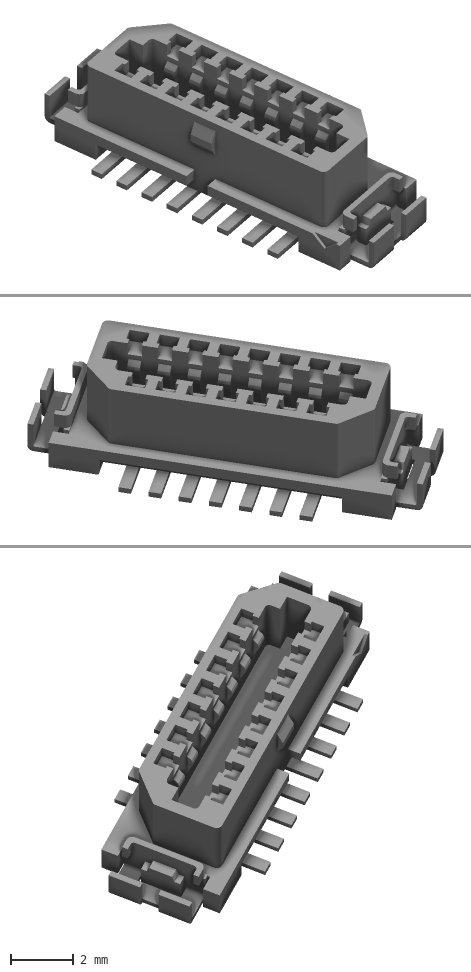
import cadquery as cq

overall_length = 13.1
overall_width = 5.6
housing_top = 3.3

base_length = 11.37
base_width = 4.22
base_top = 1.02
end_notch_depth = 0.52
end_notch_width = 3.04
tail_recess_length = 8.07
tail_recess_top = 0.63
lip_gap_width = 0.84

shroud_length = 9.55
shroud_width = 3.35
shroud_chamfer = 1.0
shroud_chamfer_round = 0.16
shroud_corner_round = 0.2

cavity_half_length = 4.38
cavity_key_half_length = 3.85
cavity_half_width = 0.7
cavity_key_y = 0.22
cavity_floor = base_top
cavity_corner_round = 0.16

front_contact_count = 8
back_contact_count = front_contact_count - 1
front_row_span = 7.01
contact_pitch = front_row_span / (front_contact_count - 1)
contact_width = 0.42
tail_thickness = 0.2

slot_depth = 0.46
slot_wide_width = 0.67
slot_narrow_width = 0.47
slot_step_y = 0.92
slot_outer_y = 1.36

tip_protrusion = 0.21
tip_nose_setback = 0.04
tip_top = 2.65
tip_shoulder_drop = 0.16
tip_nose_drop = 0.26
tip_nose_height = 0.16
tip_height = 0.94

latch_width = lip_gap_width
latch_protrusion = 0.21
latch_bottom = 2.0
latch_flat_bottom = 2.32
latch_flat_top = 2.61
latch_top = 3.0

peg_radius = 0.62
peg_tip_radius = 0.43
peg_length = 1.0
peg_straight_length = 0.59
peg_x = base_length / 2 - peg_radius

mark_width = 0.94
mark_height = 0.4
mark_depth = 0.1

sheet = 0.2
clip_width = 2.88
clip_tab_top = 1.11
clip_tab_gap = 0.65
clip_tab_outer_bend = 0.2
clip_tab_inner_bend = 0.07
clip_wall_top = 1.62
clip_wall_width = 2.72
clip_arm_bottom = 1.1
clip_outer_bend = 0.21
clip_inner_bend = 0.12
clip_window_width = 1.53
clip_window_clearance = 0.08
clip_wall_outer_x = base_length / 2 - end_notch_depth
clip_wall_inner_x = clip_wall_outer_x + sheet

tongue_width = 1.39
tongue_shoulder_width = 1.0
tongue_top_width = 0.81
tongue_shoulder_z = 0.79


def block(x_range, y_range, z_range):
    """Box given by its limits along each axis."""
    limits = (x_range, y_range, z_range)
    sizes = [high - low for low, high in limits]
    corner = tuple(low for low, high in limits)
    return cq.Workplane("XY").box(*sizes, centered=False).translate(corner)


def extrude_along_x(profile_yz, x_center, width):
    """Prism with a (Y, Z) profile, centered on x_center."""
    start = cq.Workplane("YZ").workplane(offset=x_center - width / 2)
    return start.polyline(profile_yz).close().extrude(width)


def both_ends(right_part):
    """The part at the +X end together with its mirror image."""
    return right_part.union(right_part.mirror("YZ"))


def row_positions(count):
    return [(index - (count - 1) / 2) * contact_pitch for index in range(count)]


def make_base():
    half_length = base_length / 2
    half_width = base_width / 2
    base = cq.Workplane("XY").box(base_length, base_width, base_top, centered=(True, True, False))
    notch = block(
        (clip_wall_outer_x, half_length),
        (-end_notch_width / 2, end_notch_width / 2),
        (0, base_top),
    )
    base = base.cut(both_ends(notch))

    lip_gap = block(
        (-lip_gap_width / 2, lip_gap_width / 2),
        (-half_width, -shroud_width / 2),
        (0, base_top),
    )
    mark = (
        cq.Workplane("XZ", origin=(peg_x, -half_width, 0))
        .moveTo(-mark_width / 2, base_top)
        .lineTo(mark_width / 2, base_top)
        .lineTo(0, base_top - mark_height)
        .close()
        .extrude(-mark_depth)
    )
    return base.cut(lip_gap).cut(mark)


def make_tail_recess():
    """Recess under the front lip, running inward as a shallow pocket around the contact tails."""
    front_y = -base_width / 2
    recess_x = (-tail_recess_length / 2, tail_recess_length / 2)
    under_lip = block(recess_x, (front_y, -shroud_width / 2), (0, tail_recess_top))
    tail_pocket = block(recess_x, (front_y, -slot_outer_y), (0, tail_thickness))
    return under_lip.union(tail_pocket)


def make_shroud():
    shroud = cq.Workplane("XY").box(shroud_length, shroud_width, housing_top, centered=(True, True, False))
    shroud = shroud.edges("|Z and >Y").chamfer(shroud_chamfer)
    shroud = shroud.edges("|Z and <Y").fillet(shroud_corner_round)
    back_half = cq.selectors.BoxSelector(
        (-shroud_length, 0, 0),
        (shroud_length, shroud_width, housing_top),
    )
    return shroud.edges("|Z").edges(back_half).fillet(shroud_chamfer_round)


def make_latch():
    wall_y = -shroud_width / 2
    nose_y = wall_y - latch_protrusion
    profile = [
        (wall_y, latch_bottom),
        (nose_y, latch_flat_bottom),
        (nose_y, latch_flat_top),
        (wall_y, latch_top),
    ]
    return extrude_along_x(profile, 0, latch_width)


def make_cavity():
    outline = [
        (-cavity_half_length, -cavity_half_width),
        (cavity_half_length, -cavity_half_width),
        (cavity_half_length, cavity_key_y),
        (cavity_key_half_length, cavity_key_y),
        (cavity_key_half_length, cavity_half_width),
        (-cavity_key_half_length, cavity_half_width),
        (-cavity_key_half_length, cavity_key_y),
        (-cavity_half_length, cavity_key_y),
    ]
    cavity = cq.Workplane("XY").workplane(offset=cavity_floor).polyline(outline).close()
    cavity = cavity.extrude(housing_top - cavity_floor)
    return cavity.edges("|Z and (<Y or >Y)").fillet(cavity_corner_round)


def make_slot(x_center):
    """Slot of the back row: narrow at the cavity, wide toward the shroud wall."""
    z_range = (housing_top - slot_depth, housing_top)
    narrow = slot_narrow_width / 2
    wide = slot_wide_width / 2
    neck = block((x_center - narrow, x_center + narrow), (0, slot_step_y), z_range)
    head = block((x_center - wide, x_center + wide), (slot_step_y, slot_outer_y), z_range)
    return neck.union(head)


def make_contact_tip(x_center):
    """Bulging tip of a back-row contact, set into the cavity wall."""
    wall_y = cavity_half_width
    nose_y = wall_y - tip_protrusion
    shoulder_y = nose_y + tip_nose_setback
    profile = [
        (wall_y, tip_top),
        (shoulder_y, tip_top - tip_shoulder_drop),
        (nose_y, tip_top - tip_nose_drop),
        (nose_y, tip_top - tip_nose_drop - tip_nose_height),
        (wall_y, tip_top - tip_height),
    ]
    return extrude_along_x(profile, x_center, contact_width)


def make_tail(x_center):
    half = contact_width / 2
    return block(
        (x_center - half, x_center + half),
        (slot_outer_y, overall_width / 2),
        (0, tail_thickness),
    )


def make_peg():
    profile = [
        (0, 0),
        (peg_radius, 0),
        (peg_radius, -peg_straight_length),
        (peg_tip_radius, -peg_length),
        (0, -peg_length),
    ]
    peg = cq.Workplane("XZ").polyline(profile).close().revolve(360, (0, 0), (0, 1))
    return peg.translate((peg_x, 0, 0))


def make_tongue():
    half = tongue_width / 2
    shoulder = tongue_shoulder_width / 2
    top = tongue_top_width / 2
    profile = [
        (-half, 0),
        (half, 0),
        (half, tongue_shoulder_z),
        (shoulder, tongue_shoulder_z),
        (top, base_top),
        (-top, base_top),
        (-shoulder, tongue_shoulder_z),
        (-half, tongue_shoulder_z),
    ]
    length = base_length / 2 - clip_wall_outer_x
    return extrude_along_x(profile, clip_wall_outer_x + length / 2, length)


def make_clip():
    outer_x = overall_length / 2
    half_width = clip_width / 2

    strip_profile = [
        (clip_wall_outer_x, 0),
        (outer_x, 0),
        (outer_x, clip_tab_top),
        (outer_x - sheet, clip_tab_top),
        (outer_x - sheet, sheet),
        (clip_wall_inner_x, sheet),
        (clip_wall_inner_x, clip_arm_bottom),
        (clip_wall_outer_x, clip_arm_bottom),
    ]
    strip = cq.Workplane("XZ", origin=(0, half_width, 0)).polyline(strip_profile).close().extrude(clip_width)

    def bend(part, x, z, radius):
        return part.edges(cq.selectors.NearestToPointSelector((x, 0, z))).fillet(radius)

    strip = bend(strip, outer_x, 0, clip_tab_outer_bend)
    strip = bend(strip, outer_x - sheet, sheet, clip_tab_inner_bend)
    strip = bend(strip, clip_wall_outer_x, 0, clip_outer_bend)
    strip = bend(strip, clip_wall_inner_x, sheet, clip_inner_bend)

    tab_gap = block(
        (outer_x - sheet, outer_x),
        (-clip_tab_gap / 2, clip_tab_gap / 2),
        (0, clip_tab_top),
    )
    window = block(
        (clip_wall_inner_x, base_length / 2 + clip_window_clearance),
        (-clip_window_width / 2, clip_window_width / 2),
        (0, clip_arm_bottom),
    )
    bend_relief = block(
        (outer_x - sheet - clip_tab_inner_bend, outer_x),
        (-clip_tab_gap / 2, clip_tab_gap / 2),
        (sheet, clip_tab_top),
    )
    strip = strip.cut(tab_gap).cut(bend_relief).cut(window)

    wall_half = clip_wall_width / 2
    arm_end_x = base_length / 2
    wall = block((clip_wall_outer_x, arm_end_x), (-wall_half, wall_half), (sheet, clip_wall_top))
    wall = wall.edges("|Z and <X").fillet(clip_outer_bend)
    hollow = block(
        (clip_wall_inner_x, arm_end_x + sheet),
        (sheet - wall_half, wall_half - sheet),
        (0, clip_wall_top),
    )
    hollow = hollow.edges("|Z and <X").fillet(clip_inner_bend)
    below_arms = block((clip_wall_inner_x, arm_end_x), (-wall_half, wall_half), (0, clip_arm_bottom))
    wall = wall.cut(hollow).cut(below_arms)
    return strip.union(wall)


housing = make_base().union(make_shroud()).union(make_latch()).cut(make_cavity())
tail_recess = make_tail_recess()
housing = housing.cut(tail_recess).cut(tail_recess.mirror("XZ"))

front_row = row_positions(front_contact_count)
back_row = row_positions(back_contact_count)
for x_center in back_row:
    housing = housing.cut(make_slot(x_center))
for x_center in front_row:
    housing = housing.cut(make_slot(x_center).mirror("XZ"))

result = housing
for x_center in back_row:
    result = result.union(make_contact_tip(x_center)).union(make_tail(x_center))
for x_center in front_row:
    front_contact = make_contact_tip(x_center).union(make_tail(x_center))
    result = result.union(front_contact.mirror("XZ"))
for end_part in (make_clip(), make_tongue(), make_peg()):
    result = result.union(both_ends(end_part))